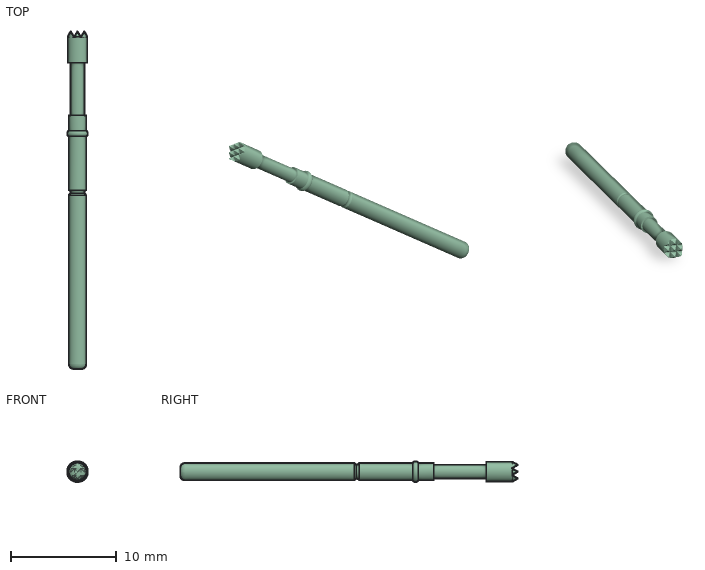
import cadquery as cq
import math


head_radius = 0.945
plunger_radius = 0.67
barrel_radius = 0.83
crimp_radius = 0.67
collar_radius = 1.0

overall_length = 32.0
head_back = overall_length - 3.0
barrel_front = overall_length - 7.97
collar_middle = overall_length - 9.7
crimp_front = overall_length - 15.05

collar_width = 0.55
tail_round = 0.48
crimp_length = 0.48
crimp_hollow_length = 0.22
crimp_cone_length = 0.2

teeth_per_row = 3
tooth_pitch = 0.65
tooth_angle = 60.0
tooth_depth = tooth_pitch / 2 / math.tan(math.radians(tooth_angle / 2))

origin = (0, 0, 0)
y_axis = (0, 1, 0)


def rod(radius, y_start, y_end):
    """Round bar about the Y axis between two stations."""
    return cq.Workplane("XZ", origin=(0, y_end, 0)).circle(radius).extrude(y_end - y_start)


def make_plunger():
    """Head and the thinner stem that runs back to the barrel mouth."""
    head = rod(head_radius, head_back, overall_length)
    stem = rod(plunger_radius, barrel_front, head_back)
    return head.union(stem)


def make_barrel():
    """Tube body with a rounded tail and a stop collar crowned by an arc."""
    tube = rod(barrel_radius, 0, barrel_front).faces("<Y").edges().fillet(tail_round)
    collar = (
        cq.Workplane("XY")
        .moveTo(0, collar_middle - collar_width / 2)
        .lineTo(barrel_radius, collar_middle - collar_width / 2)
        .threePointArc((collar_radius, collar_middle), (barrel_radius, collar_middle + collar_width / 2))
        .lineTo(0, collar_middle + collar_width / 2)
        .close()
        .revolve(360, origin, y_axis)
    )
    return tube.union(collar)


def make_crimp_cutter():
    """Ring whose floor is reached by a cone from the tail side and a tangent hollow from the front."""
    crimp_back = crimp_front - crimp_length
    profile = (
        cq.Workplane("XY")
        .moveTo(barrel_radius, crimp_back)
        .lineTo(crimp_radius, crimp_back + crimp_cone_length)
        .lineTo(crimp_radius, crimp_front - crimp_hollow_length)
        .tangentArcPoint((barrel_radius, crimp_front), relative=False)
        .lineTo(collar_radius, crimp_front)
        .lineTo(collar_radius, crimp_back)
        .close()
    )
    return profile.revolve(360, origin, y_axis)


def cut_crown(body):
    """Cut V grooves between and outside the rows of teeth, first along Z and then along X."""
    root = overall_length - tooth_depth
    half_mouth = tooth_pitch / 2
    for row in range(teeth_per_row + 1):
        x = (row - teeth_per_row / 2) * tooth_pitch
        groove = (
            cq.Workplane("XY")
            .moveTo(x - half_mouth, overall_length)
            .lineTo(x, root)
            .lineTo(x + half_mouth, overall_length)
            .close()
            .extrude(head_radius, both=True)
        )
        for turn in (0, 90):
            body = body.cut(groove.rotate(origin, y_axis, turn))
    return body


probe = make_plunger().union(make_barrel()).cut(make_crimp_cutter())
result = cut_crown(probe)